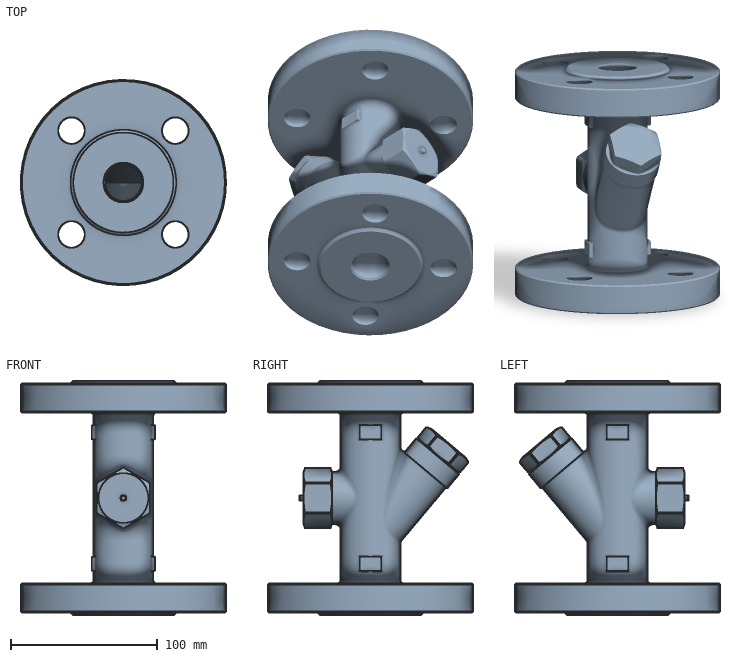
import cadquery as cq
import math

total_length = 160.0
pipe_dia = 41.0
bore_dia = 25.0
bore_mouth_chamfer = 1.1

flange_dia = 140.0
flange_thickness = 20.0
flange_edge_chamfer = 1.0
seal_dia = 72.0
seal_tip_dia = 68.2
seal_height = 2.0
bolt_count = 4
bolt_hole_dia = 18.0
bolt_circle_dia = 100.0
neck_fillet = 2.0

branch_angle = 40.0
branch_root_z = -26.0
branch_dia = 36.0
branch_length = 71.2
collar_dia = 38.0
collar_height = 12.6

plug_flats = 33.0
plug_corner_dia = 37.5
plug_face_dia = 30.9
plug_height = 11.5
plug_bevel = 1.3

boss_dia = 36.0
boss_reach = 26.0
nut_flats = 36.0
nut_corner_dia = 41.0
nut_face_dia = 34.0
nut_height = 20.0
nut_bevel = 1.3
pin_dia = 4.0
pin_tip_dia = 3.0
pin_height = 2.5
seam_fillet = 3.0

plate_width = 14.7
plate_height = 9.6
plate_reach = 21.6
plate_offset = 44.8
plate_edge_fillet = 0.6
plate_base_fillet = 0.45

half_length = total_length / 2
pipe_radius = pipe_dia / 2
flange_inner_z = half_length - seal_height - flange_thickness


def revolved(profile):
    """Turn a (radius, height) profile, closed along the axis, about Z."""
    return cq.Workplane("XZ").polyline(profile).close().revolve(360, (0, 0, 0), (0, 1, 0))


def hex_head(flats, corner_dia, face_dia, height, bevel):
    """Hexagon along +Z with two flats facing X, turned corners and both ends bevelled."""
    corner_radius = corner_dia / 2
    face_radius = face_dia / 2
    prism = cq.Workplane("XY").polygon(6, flats / math.cos(math.pi / 6)).extrude(height)
    turned = revolved([
        (0, 0),
        (face_radius, 0),
        (corner_radius, bevel),
        (corner_radius, height - bevel),
        (face_radius, height),
        (0, height),
    ])
    return prism.rotate((0, 0, 0), (0, 0, 1), 30).intersect(turned)


def top_flange():
    rim_radius = flange_dia / 2
    rim_low_z = flange_inner_z
    rim_high_z = half_length - seal_height
    flange = revolved([
        (0, rim_low_z),
        (rim_radius - flange_edge_chamfer, rim_low_z),
        (rim_radius, rim_low_z + flange_edge_chamfer),
        (rim_radius, rim_high_z - flange_edge_chamfer),
        (rim_radius - flange_edge_chamfer, rim_high_z),
        (seal_dia / 2, rim_high_z),
        (seal_tip_dia / 2, half_length),
        (0, half_length),
    ])
    bolt_holes = (
        cq.Workplane("XY")
        .polarArray(bolt_circle_dia / 2, 180 / bolt_count, 360, bolt_count)
        .circle(bolt_hole_dia / 2)
        .extrude(half_length)
    )
    return flange.cut(bolt_holes)


def bore():
    radius = bore_dia / 2
    mouth_radius = radius + bore_mouth_chamfer
    return revolved([
        (0, -half_length),
        (mouth_radius, -half_length),
        (radius, bore_mouth_chamfer - half_length),
        (radius, half_length - bore_mouth_chamfer),
        (mouth_radius, half_length),
        (0, half_length),
    ])


def along_branch(shape):
    """Lean a shape standing on +Z towards +Y and set it on the branch root."""
    return shape.rotate((0, 0, 0), (1, 0, 0), -branch_angle).translate((0, 0, branch_root_z))


def along_boss(shape):
    """Lay a shape standing on +Z along -Y."""
    return shape.rotate((0, 0, 0), (1, 0, 0), 90)


def marking_plate(side, z):
    plate = cq.Workplane("XY").box(plate_reach, plate_width, plate_height, centered=(False, True, True))
    plate = plate.faces(">X").edges().fillet(plate_edge_fillet)
    if side < 0:
        plate = plate.mirror("YZ")
    return plate.translate((0, 0, z))


def is_plate_base(edge):
    """True for an edge where a marking plate meets the pipe surface."""
    on_pipe = all(
        math.isclose(math.hypot(end.x, end.y), pipe_radius, abs_tol=0.02)
        for end in (edge.startPoint(), edge.endPoint())
    )
    height_from_plate = abs(abs(edge.Center().z) - plate_offset)
    return on_pipe and height_from_plate < plate_height / 2 + 0.02


branch = along_branch(cq.Workplane("XY").circle(branch_dia / 2).extrude(branch_length))
boss = along_boss(cq.Workplane("XY").circle(boss_dia / 2).extrude(boss_reach))

pipe = cq.Workplane("XY").circle(pipe_radius).extrude(half_length, both=True)
body = pipe.union(branch).union(boss)
seams = [edge for edge in body.edges().vals() if edge.geomType() not in ("CIRCLE", "LINE")]
body = body.newObject(seams).fillet(seam_fillet)

flange = top_flange()
body = body.union(flange).union(flange.mirror("XY"))
necks = [
    edge
    for edge in body.edges("%CIRCLE").vals()
    if math.isclose(edge.radius(), pipe_radius, abs_tol=0.02)
    and math.isclose(abs(edge.Center().z), flange_inner_z, abs_tol=0.02)
]
body = body.newObject(necks).fillet(neck_fillet)

for plate_side in (-1, 1):
    for plate_z in (-plate_offset, plate_offset):
        body = body.union(marking_plate(plate_side, plate_z))
bases = [edge for edge in body.edges().vals() if is_plate_base(edge)]
body = body.newObject(bases).fillet(plate_base_fillet)

body = body.cut(bore()).union(branch).union(boss)

collar = cq.Workplane("XY").circle(collar_dia / 2).extrude(collar_height)
body = body.union(along_branch(collar.translate((0, 0, branch_length - collar_height))))

plug = hex_head(plug_flats, plug_corner_dia, plug_face_dia, plug_height, plug_bevel)
body = body.union(along_branch(plug.translate((0, 0, branch_length))))

nut = hex_head(nut_flats, nut_corner_dia, nut_face_dia, nut_height, nut_bevel)
body = body.union(along_boss(nut.translate((0, 0, boss_reach))))

pin_chamfer = (pin_dia - pin_tip_dia) / 2
pin = cq.Workplane("XY").circle(pin_dia / 2).extrude(pin_height).faces(">Z").chamfer(pin_chamfer)
body = body.union(along_boss(pin.translate((0, 0, boss_reach + nut_height))))

result = body